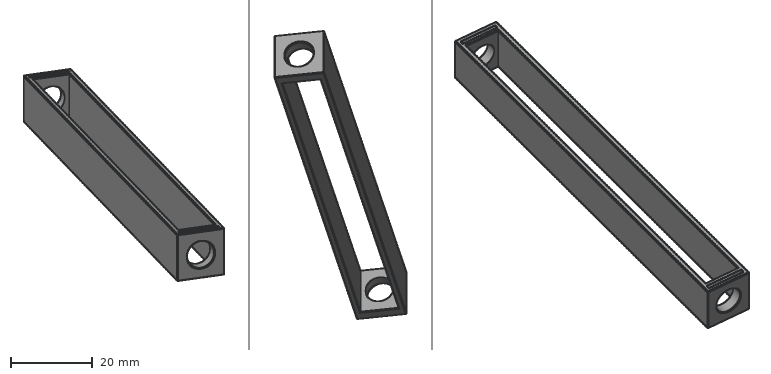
import cadquery as cq

length = 109.4
side = 12.5

side_wall = 1.5
end_wall = 3.1

bore_diameter = 7.0

edge_chamfer = 0.25

groove_margin = 1.1
groove_width = 0.93
groove_depth = 0.2

window_length = length - 2 * end_wall
window_width = side - 2 * side_wall
groove_length = side - 2 * groove_margin


def chamfered_block():
    """Square bar with all twelve edges chamfered."""
    return cq.Workplane("XY").box(length, side, side).edges().chamfer(edge_chamfer)


def cut_window(body):
    """Cut the rectangular window through Z and chamfer its top and bottom rims."""
    window = cq.Workplane("XY").box(window_length, window_width, side)
    rim_x = window_length / 2 + edge_chamfer / 2
    rim_y = window_width / 2 + edge_chamfer / 2
    rim_edges = cq.selectors.BoxSelector((-rim_x, -rim_y, -side), (rim_x, rim_y, side))
    body = body.cut(window)
    for face in (">Z", "<Z"):
        body = body.faces(face).edges(rim_edges).chamfer(edge_chamfer)
    return body


def cut_bore(body):
    """Cut the bore through both end walls and chamfer its two outer mouths."""
    bore = cq.Workplane("YZ").circle(bore_diameter / 2).extrude(length / 2, both=True)
    body = body.cut(bore)
    for face in (">X", "<X"):
        body = body.faces(face).edges("%CIRCLE").chamfer(edge_chamfer)
    return body


def cut_end_grooves(body):
    """Cut one shallow groove along Y into the top of each end wall."""
    groove_center = length / 2 - groove_margin - groove_width / 2
    grooves = (
        cq.Workplane("XY", origin=(0, 0, side / 2))
        .pushPoints([(-groove_center, 0), (groove_center, 0)])
        .rect(groove_width, groove_length)
        .extrude(-groove_depth)
    )
    return body.cut(grooves)


result = cut_end_grooves(cut_bore(cut_window(chamfered_block()))).solids()